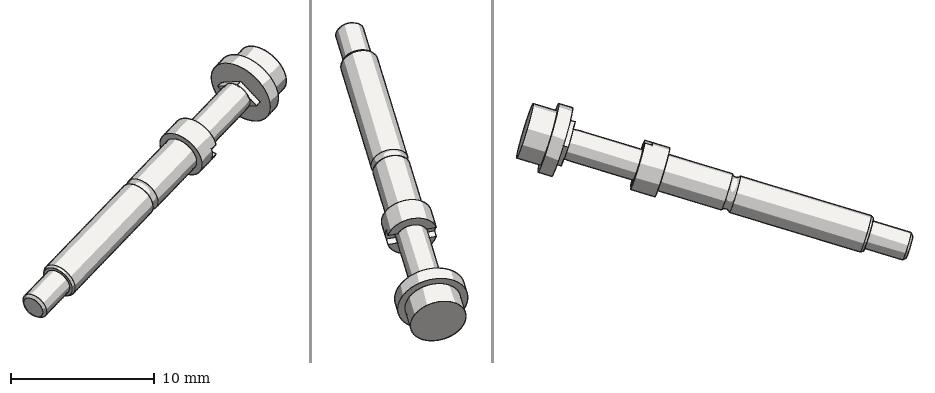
import cadquery as cq


total_length = 28.0
head_end = 1.7
flange_end = 2.72
key_end = 3.15
neck_end = 3.65
collar_start = 8.2
collar_end = 10.0
groove_start = 14.7
barrel_end = 25.0

head_radius = 2.0
flange_radius = 5.0 / 2
neck_radius = 1.1
plunger_radius = 1.12
collar_radius = 1.8
barrel_radius = 2.65 / 2
tip_radius = 1.0

groove_width = 0.6
groove_depth = 0.17
barrel_chamfer_length = 0.2
barrel_chamfer_depth = 0.1
tip_chamfer = 0.2
key_half_width = 1.65
key_half_height = 1.1
notch_width = 0.92
notch_depth = 0.53

back_face = total_length / 2


def along(distance):
    """Y position at a distance from the back of the head."""
    return back_face - distance


def make_turned_parts():
    """Revolve the half profiles of the head and of the shaft about the Y axis."""
    groove_end = groove_start + groove_width
    groove_middle = groove_start + groove_width / 2
    return (
        cq.Workplane("XY")
        .moveTo(0, along(0))
        .lineTo(head_radius, along(0))
        .lineTo(head_radius, along(head_end))
        .lineTo(flange_radius, along(head_end))
        .lineTo(flange_radius, along(flange_end))
        .lineTo(0, along(flange_end))
        .close()
        .moveTo(0, along(key_end))
        .lineTo(neck_radius, along(key_end))
        .lineTo(plunger_radius, along(neck_end))
        .lineTo(plunger_radius, along(collar_start))
        .lineTo(collar_radius, along(collar_start))
        .lineTo(collar_radius, along(collar_end))
        .lineTo(barrel_radius, along(collar_end))
        .lineTo(barrel_radius, along(groove_start))
        .threePointArc(
            (barrel_radius - groove_depth, along(groove_middle)),
            (barrel_radius, along(groove_end)),
        )
        .lineTo(barrel_radius, along(barrel_end - barrel_chamfer_length))
        .lineTo(barrel_radius - barrel_chamfer_depth, along(barrel_end))
        .lineTo(tip_radius, along(barrel_end))
        .lineTo(tip_radius, along(total_length - tip_chamfer))
        .lineTo(tip_radius - tip_chamfer, along(total_length))
        .lineTo(0, along(total_length))
        .close()
        .revolve(360, (0, 0, 0), (0, 1, 0))
    )


def make_key():
    """Diamond-shaped key joining the head to the neck, widest along X."""
    return (
        cq.Workplane("XZ", origin=(0, along(flange_end), 0))
        .moveTo(key_half_width, 0)
        .lineTo(0, key_half_height)
        .lineTo(-key_half_width, 0)
        .lineTo(0, -key_half_height)
        .close()
        .extrude(key_end - flange_end)
    )


def make_collar_notches():
    """Slot along X across the back face of the collar, stopping at the plunger surface."""
    slot = (
        cq.Workplane("XZ", origin=(0, along(collar_start), 0))
        .rect(2 * flange_radius, notch_width)
        .extrude(notch_depth)
    )
    plunger = (
        cq.Workplane("XZ", origin=(0, along(collar_start), 0))
        .circle(plunger_radius)
        .extrude(notch_depth)
    )
    return slot.cut(plunger)


result = make_turned_parts().union(make_key()).cut(make_collar_notches())